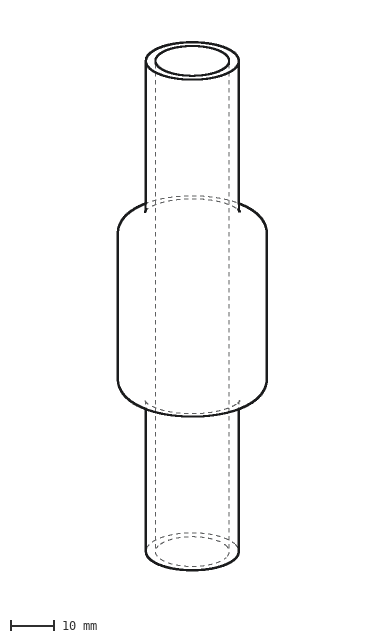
import cadquery as cq

overall_length = 122.0
body_length = 42.0
body_diameter = 34.0
pipe_diameter = 21.2
bore_diameter = 16.8
body_edge_radius = 3.0
pipe_root_radius = 3.0


def centred_cylinder(diameter, length):
    """Solid cylinder on the Z axis, centred on the origin."""
    return cq.Workplane("XY").cylinder(length, diameter / 2)


def rounded_body():
    """Thick middle section with both outer edges rounded."""
    return centred_cylinder(body_diameter, body_length).edges("%CIRCLE").fillet(body_edge_radius)


def blend_pipe_roots(fitting):
    """Blend the pipe into the ring-shaped end faces of the body, along their inner edges."""
    body_end_faces = fitting.faces("|Z and (not <Z) and (not >Z)")
    root_edges = body_end_faces.edges(cq.selectors.RadiusNthSelector(0))
    return root_edges.fillet(pipe_root_radius)


outside = rounded_body().union(centred_cylinder(pipe_diameter, overall_length))
outside = blend_pipe_roots(outside)
result = outside.cut(centred_cylinder(bore_diameter, overall_length))